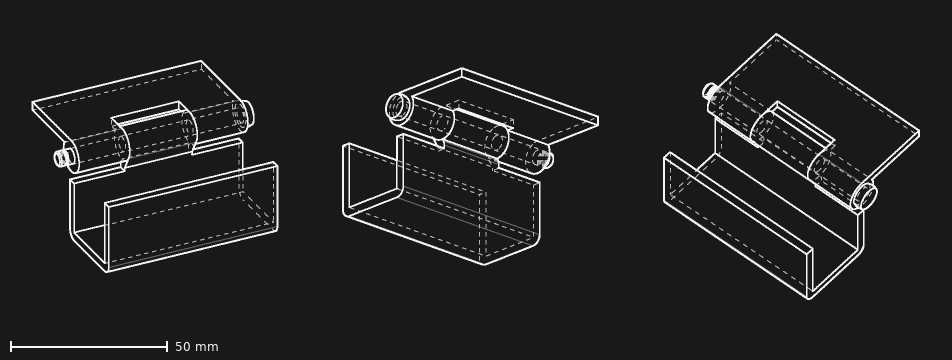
import cadquery as cq
import math

leaf_length = 60.0
sheet = 3.0
barrel_radius = 5.65
pin_radius = 2.5
center_knuckle_length = 24.0

flat_reach = 28.0
notch_reach = 7.6

channel_left = -1.0
channel_width = 28.0
near_wall_height = 20.95
far_wall_height = 25.0
overall_height = 35.6
bend_angle = math.radians(30)
channel_right = channel_left + channel_width
channel_bottom = barrel_radius - overall_height

head_length = 3.0
head_face_radius = 3.95
head_bulge_radius = 4.3
tail_length = 68 - leaf_length - head_length
groove_start = 2.2
groove_width = 0.75
groove_radius = 2.0
tip_chamfer = 0.5


def extrude_along_y(profile, length):
    """Extrude an XZ profile symmetrically about Y = 0."""
    return profile.extrude(length / 2, both=True)


def cylinder_along_y(radius, length):
    return extrude_along_y(cq.Workplane("XZ").circle(radius), length)


def box_profile(x_min, x_max, z_min, z_max):
    return (
        cq.Workplane("XZ")
        .center((x_min + x_max) / 2, (z_min + z_max) / 2)
        .rect(x_max - x_min, z_max - z_min)
    )


def make_flat_leaf():
    """Flat plate tangent to the top of two end knuckles, notched between them."""
    plate_profile = box_profile(-flat_reach, 0, barrel_radius - sheet, barrel_radius)
    leaf = extrude_along_y(plate_profile, leaf_length)
    leaf = leaf.union(cylinder_along_y(barrel_radius, leaf_length))
    notch_profile = box_profile(-notch_reach, barrel_radius, -barrel_radius, barrel_radius)
    leaf = leaf.cut(extrude_along_y(notch_profile, center_knuckle_length))
    return leaf.cut(cylinder_along_y(pin_radius, leaf_length))


def make_channel():
    """U-shaped channel with rounded outside corners and sharp inside corners."""
    near_top = channel_bottom + near_wall_height
    far_top = channel_bottom + far_wall_height
    profile = (
        cq.Workplane("XZ")
        .moveTo(channel_left, near_top)
        .lineTo(channel_left, channel_bottom + sheet)
        .radiusArc((channel_left + sheet, channel_bottom), -sheet)
        .lineTo(channel_right - sheet, channel_bottom)
        .radiusArc((channel_right, channel_bottom + sheet), -sheet)
        .lineTo(channel_right, far_top)
        .lineTo(channel_right - sheet, far_top)
        .lineTo(channel_right - sheet, channel_bottom + sheet)
        .lineTo(channel_left + sheet, channel_bottom + sheet)
        .lineTo(channel_left + sheet, near_top)
        .close()
    )
    return extrude_along_y(profile, leaf_length)


def make_neck():
    """Bent strip from the near wall to the center knuckle, tangent to the barrel."""
    near_top = channel_bottom + near_wall_height
    sine = math.sin(bend_angle)
    cosine = math.cos(bend_angle)
    tangent_x = barrel_radius * cosine
    tangent_z = -barrel_radius * sine
    bend_x = channel_left + sheet
    bend_z = tangent_z - (tangent_x - bend_x) / math.tan(bend_angle)
    arc_end = (bend_x - sheet * cosine, bend_z + sheet * sine)
    strip_end = (tangent_x - sheet * cosine, tangent_z + sheet * sine)
    profile = (
        cq.Workplane("XZ")
        .moveTo(channel_left, near_top)
        .lineTo(channel_left, bend_z)
        .radiusArc(arc_end, sheet)
        .lineTo(*strip_end)
        .lineTo(tangent_x, tangent_z)
        .lineTo(bend_x, bend_z)
        .lineTo(bend_x, near_top)
        .close()
    )
    return extrude_along_y(profile, center_knuckle_length)


def make_channel_leaf():
    """Channel carrying the center knuckle on its bent neck."""
    leaf = make_channel().union(make_neck())
    leaf = leaf.union(cylinder_along_y(barrel_radius, center_knuckle_length))
    return leaf.cut(cylinder_along_y(pin_radius, center_knuckle_length))


def make_pin():
    """Revolved pin with a bulged head at +Y and a grooved, chamfered tail at -Y."""
    leaf_end = leaf_length / 2
    head_end = leaf_end + head_length
    tip = -leaf_end - tail_length
    groove_top = -leaf_end - groove_start
    groove_bottom = groove_top - groove_width
    profile = (
        cq.Workplane("XY")
        .moveTo(0, tip)
        .lineTo(pin_radius - tip_chamfer, tip)
        .lineTo(pin_radius, tip + tip_chamfer)
        .lineTo(pin_radius, groove_bottom)
        .lineTo(groove_radius, groove_bottom)
        .lineTo(groove_radius, groove_top)
        .lineTo(pin_radius, groove_top)
        .lineTo(pin_radius, leaf_end)
        .lineTo(head_face_radius, leaf_end)
        .threePointArc((head_bulge_radius, leaf_end + head_length / 2), (head_face_radius, head_end))
        .lineTo(0, head_end)
        .close()
    )
    return profile.revolve(360, (0, 0, 0), (0, 1, 0))


flat_leaf = make_flat_leaf()
channel_leaf = make_channel_leaf()
pin = make_pin()

result = cq.Compound.makeCompound([flat_leaf.solids().val(), channel_leaf.solids().val(), pin.val()])